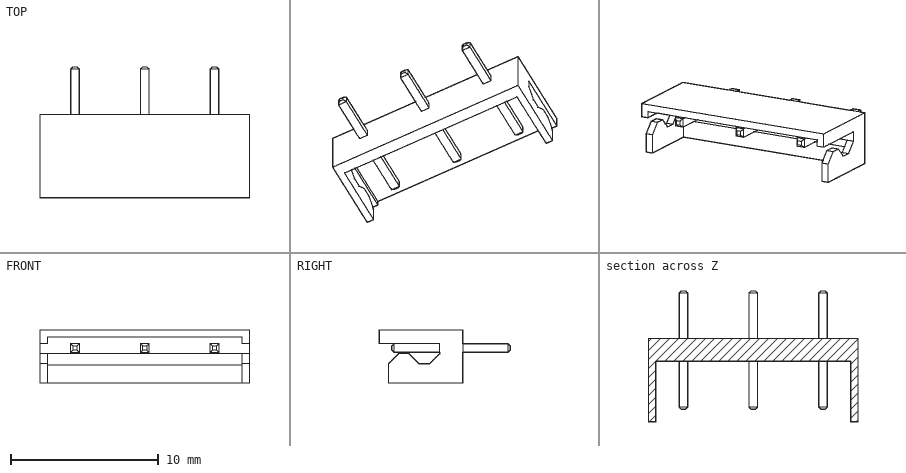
import cadquery as cq

length = 14.16
height = 3.6
wall = 0.8
side = 0.5
roof = 0.5
roof_depth = 5.65
lip_drop = 0.44

block_depth = 1.56
block_bottom = 2.0
block_overhang = block_depth - wall

cheek_step = 0.7
cheek_low = block_bottom - cheek_step
cheek_depth = block_depth + 5 * cheek_step

pin_count = 3
pin_pitch = length / 3
pin_width = 0.6
pin_tip = 0.15
pin_height = 2.36
pin_back = 3.21
pin_front = 4.8


def extrude_along_length(points, width, x_center=0):
    """Extrude a (Y, Z) outline along X, centred on x_center."""
    outline = cq.Workplane("YZ").polyline(points).close()
    return outline.extrude(width / 2, both=True).translate((x_center, 0, 0))


def make_back_and_roof():
    """Back wall, pin block with a 45 degree underside, and roof as one outline."""
    return extrude_along_length(
        [
            (0, 0),
            (0, height),
            (-roof_depth, height),
            (-roof_depth, height - roof),
            (-block_depth, height - roof),
            (-block_depth, block_bottom),
            (-wall, block_bottom - block_overhang),
            (-wall, 0),
        ],
        length,
    )


def make_lip(x_center):
    """Strip hanging below one end of the roof."""
    top = height - roof
    bottom = top - lip_drop
    return extrude_along_length(
        [(0, top), (-roof_depth, top), (-roof_depth, bottom), (0, bottom)],
        side,
        x_center,
    )


def make_cheek(x_center):
    """Notched plate closing one end of the housing below the pins."""
    profile_heights = [block_bottom, cheek_low, cheek_low, block_bottom, block_bottom, cheek_low]
    upper_edge = [
        (-block_depth - i * cheek_step, z) for i, z in enumerate(profile_heights)
    ]
    points = [(0, 0), (0, block_bottom)] + upper_edge + [(-cheek_depth, 0)]
    return extrude_along_length(points, side, x_center)


def make_pin(x_center):
    """Square pin along Y, chamfered at both ends."""
    pin_length = pin_back + pin_front
    return (
        cq.Workplane("XY")
        .box(pin_width, pin_length, pin_width)
        .faces("<Y or >Y")
        .chamfer(pin_tip)
        .translate((x_center, (pin_back - pin_front) / 2, pin_height))
    )


result = make_back_and_roof()
for end in (-1, 1):
    end_center = end * (length - side) / 2
    result = result.union(make_lip(end_center)).union(make_cheek(end_center))
for index in range(pin_count):
    result = result.union(make_pin((index - (pin_count - 1) / 2) * pin_pitch))